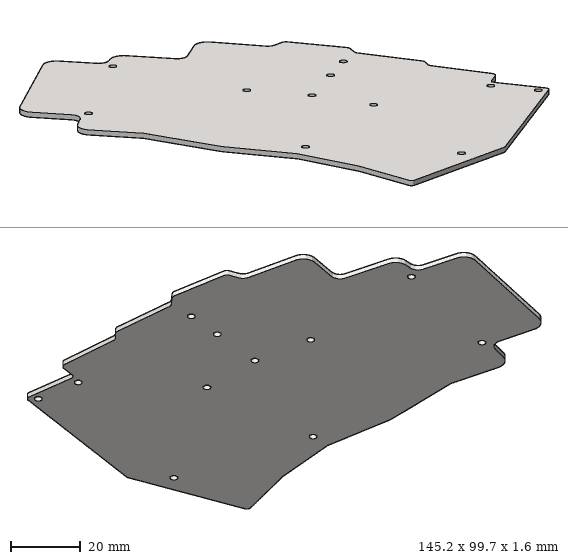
import cadquery as cq
import math

plate_length = 145.24
plate_width = 99.66
plate_thickness = 1.6
hole_diameter = 2.2

key_corner_radius = 4.0
notch_radius = 3.0
step_radius = 1.6
small_radius = 1.2
bend_radius = 15.0
sharp = 0.0

palm_edge_y = 12.6
inner_column_edge_x = 127.55

outline_corners = [
    (2.75, 25.0, key_corner_radius),
    (21.5, 26.6, notch_radius),
    (22.55, 15.4, key_corner_radius),
    (42.3, 17.2, sharp),
    (66.8, palm_edge_y, bend_radius),
    (89.3, palm_edge_y, sharp),
    (108.8, 7.5, sharp),
    (126.7, -0.34, small_radius),
    (plate_length, 33.3, small_radius),
    (plate_length, 82.75, small_radius),
    (inner_column_edge_x, 83.35, small_radius),
    (inner_column_edge_x, 90.0, step_radius),
    (106.9, 91.75, step_radius),
    (104.8, 94.7, step_radius),
    (84.0, 96.2, step_radius),
    (81.1, plate_width, step_radius),
    (61.9, plate_width, step_radius),
    (59.3, 94.8, notch_radius),
    (37.7, 93.6, key_corner_radius),
    (38.2, 78.4, notch_radius),
    (17.7, 76.5, key_corner_radius),
    (17.2, 68.9, notch_radius),
    (-0.265, 67.2, key_corner_radius),
]

hole_centers = [
    (82.5, 88.4),
    (81.8, 76.7),
    (80.9, 59.6),
    (61.8, 58.7),
    (100.0, 56.7),
    (19.7, 67.5),
    (22.9, 28.7),
    (90.0, 18.7),
    (134.5, 25.3),
    (128.4, 80.4),
    (142.5, 80.4),
]


def rounded_corner(before, corner, after):
    """Return the start, middle and end of the arc that rounds one corner (all equal when it is sharp)."""
    x, y, radius = corner
    vertex = cq.Vector(x, y)
    to_before = (cq.Vector(*before[:2]) - vertex).normalized()
    to_after = (cq.Vector(*after[:2]) - vertex).normalized()
    half_angle = to_before.getAngle(to_after) / 2
    tangent_length = radius / math.tan(half_angle)
    bisector = (to_before + to_after).normalized()
    middle_distance = radius / math.sin(half_angle) - radius
    start = vertex + to_before * tangent_length
    middle = vertex + bisector * middle_distance
    end = vertex + to_after * tangent_length
    return start, middle, end


def rounded_outline(corners):
    """Join the corner arcs with straight edges into one closed wire."""
    count = len(corners)
    arcs = [
        rounded_corner(corners[i - 1], corners[i], corners[(i + 1) % count])
        for i in range(count)
    ]
    first_start = arcs[0][0]
    outline = cq.Workplane("XY").moveTo(first_start.x, first_start.y)
    for index, (start, middle, end) in enumerate(arcs):
        if index > 0:
            outline = outline.lineTo(start.x, start.y)
        if corners[index][2] > sharp:
            outline = outline.threePointArc((middle.x, middle.y), (end.x, end.y))
    return outline.close()


plate = rounded_outline(outline_corners).extrude(plate_thickness)
holes = (
    cq.Workplane("XY")
    .pushPoints(hole_centers)
    .circle(hole_diameter / 2)
    .extrude(plate_thickness)
)
result = plate.cut(holes)